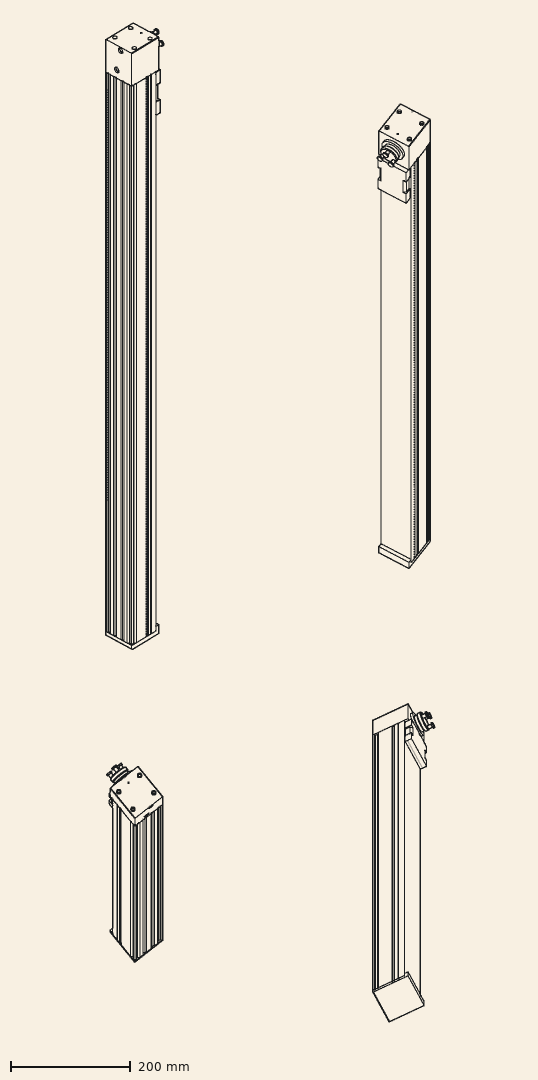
import cadquery as cq
import math


width = 60.0
total_height = 1216.0
total_depth = 92.9
head_height = 67.3
head_depth = 66.0
base_height = 9.0
profile_depth = 59.0
head_bottom = total_height - head_height
profile_height = head_bottom - base_height

slot_offset = 8.7
slot_mouth = 7.4
slot_floor = 3.8
slot_depth = 2.0
corner_groove_start = 3.7
corner_groove_floor_end = 7.8
corner_groove_end = 11.0
corner_groove_depth = 2.5
flank_groove_depth = 2.0
flank_grooves = [(38.5, 4.0), (47.6, 1.0)]

head_chamfer = 1.0
cap_screw_diameter = 4.5
cap_screw_depth = 20.0
cap_counterbore_diameter = 7.4
cap_counterbore_depth = 4.5
cap_screw_x = 22.3
cap_screw_rows = (14.5, 52.5)
vent_diameter = 2.46
vent_depth = 8.0
vent_y = 54.3
port_diameter = 8.5
port_depth = 11.0
port_counterbore_diameter = 10.1
port_counterbore_depth = 3.0
port_offset = 4.3
upper_port_drop = 7.0
lower_port_drop = 50.5

base_lip_top = 18.0
base_chamfer = 1.5

connector_drop = 29.3
flange_diameter = 42.0
flange_end = 70.2
barrel_diameter = 30.0
barrel_end = 75.0
collar_diameter = 33.0
collar_end = 83.0
collar_chamfer = 1.5
knob_circle_radius = 12.5
knob_angles = (90, 210, 330)
knob_neck_diameter = 6.3
knob_diameter = 10.0
knob_thickness = 2.5

bracket_width = 56.0
bracket_middle_width = 52.0
bracket_back = 71.5
bracket_drop = 70.5
bracket_height = 88.0
bracket_end_height = 27.0
bracket_middle_chamfer = 4.0
bracket_inner_radius = 5.0


def make_profile():
    """Extruded column with slots in the front and grooves along corners and flanks."""
    section = cq.Workplane("XY").workplane(offset=base_height)

    def groove(points):
        return section.polyline(points).close().extrude(profile_height)

    body = section.center(0, profile_depth / 2).rect(width, profile_depth).extrude(profile_height)
    corner = [
        (corner_groove_start, 0),
        (corner_groove_start, corner_groove_depth),
        (corner_groove_floor_end, corner_groove_depth),
        (corner_groove_end, 0),
    ]
    slot = [
        (-slot_mouth / 2, 0),
        (-slot_floor / 2, slot_depth),
        (slot_floor / 2, slot_depth),
        (slot_mouth / 2, 0),
    ]
    for side in (-1, 1):
        body = body.cut(groove([(side * (width / 2 - along), depth) for along, depth in corner]))
        body = body.cut(groove([(side * (width / 2 - depth), along) for along, depth in corner]))
        body = body.cut(groove([(side * slot_offset + x, y) for x, y in slot]))
        for y, groove_width in flank_grooves:
            cutter = (
                section.center(side * width / 2, y)
                .rect(2 * flank_groove_depth, groove_width)
                .extrude(profile_height)
            )
            body = body.cut(cutter)
    return body


def make_head():
    """Top cap with corner screw holes, a vent hole and two counterbored front ports."""
    head = (
        cq.Workplane("XY")
        .workplane(offset=head_bottom)
        .center(0, head_depth / 2)
        .rect(width, head_depth)
        .extrude(head_height)
    )
    head = head.faces(">Z").edges("|Y").chamfer(head_chamfer)

    top = cq.Workplane("XY").workplane(offset=total_height)
    screw_points = [(side * cap_screw_x, y) for side in (-1, 1) for y in cap_screw_rows]
    screws = top.pushPoints(screw_points)
    head = head.cut(screws.circle(cap_screw_diameter / 2).extrude(-cap_screw_depth))
    head = head.cut(screws.circle(cap_counterbore_diameter / 2).extrude(-cap_counterbore_depth))
    head = head.cut(top.center(0, vent_y).circle(vent_diameter / 2).extrude(-vent_depth))

    port_points = [
        (port_offset, total_height - upper_port_drop),
        (-port_offset, total_height - lower_port_drop),
    ]
    ports = cq.Workplane("XZ").pushPoints(port_points)
    head = head.cut(ports.circle(port_diameter / 2).extrude(-port_depth))
    return head.cut(ports.circle(port_counterbore_diameter / 2).extrude(-port_counterbore_depth))


def make_base():
    """Foot plate with a lip that rises behind the profile."""
    outline = [
        (0, base_chamfer),
        (base_chamfer, 0),
        (head_depth, 0),
        (head_depth, base_lip_top),
        (profile_depth, base_lip_top),
        (profile_depth, base_height),
        (0, base_height),
    ]
    return cq.Workplane("YZ").workplane(offset=-width / 2).polyline(outline).close().extrude(width)


def make_connector():
    """Round connector on the back of the head, ending in three knobs."""
    axis_height = total_height - connector_drop

    def disc(start, end, diameter, x=0, z=0):
        plane = cq.Workplane("XZ", origin=(x, start, axis_height + z))
        return plane.circle(diameter / 2).extrude(start - end)

    collar = disc(barrel_end, collar_end, collar_diameter).edges().chamfer(collar_chamfer)
    connector = disc(head_depth, flange_end, flange_diameter)
    connector = connector.union(disc(flange_end, barrel_end, barrel_diameter)).union(collar)
    knob_start = total_depth - knob_thickness
    for angle in knob_angles:
        x = knob_circle_radius * math.cos(math.radians(angle))
        z = knob_circle_radius * math.sin(math.radians(angle))
        connector = connector.union(disc(collar_end, knob_start, knob_neck_diameter, x, z))
        connector = connector.union(disc(knob_start, total_depth, knob_diameter, x, z))
    return connector


def make_bracket():
    """Block on the back of the profile, narrower and chamfered between its two ends."""
    bottom = total_height - bracket_drop - bracket_height
    depth = bracket_back - profile_depth
    middle_height = bracket_height - 2 * bracket_end_height

    def block(start, height, block_width=bracket_width):
        plane = cq.Workplane("XY", origin=(0, profile_depth + depth / 2, start))
        return plane.rect(block_width, depth).extrude(height)

    middle = block(bottom + bracket_end_height, middle_height, bracket_middle_width)
    middle = middle.faces(">Y").edges("|Z").chamfer(bracket_middle_chamfer)
    upper = block(bottom + bracket_end_height + middle_height, bracket_end_height)
    upper = upper.faces("<Y").edges(">Z").fillet(bracket_inner_radius)
    lower = block(bottom, bracket_end_height)
    lower = lower.faces("<Y").edges("<Z").fillet(bracket_inner_radius)
    return middle.union(upper).union(lower)


profile = make_profile()
head = make_head()
base = make_base()
connector = make_connector()
bracket = make_bracket()

result = cq.Compound.makeCompound([
    profile.val(),
    head.val(),
    base.val(),
    connector.val(),
    bracket.val(),
])